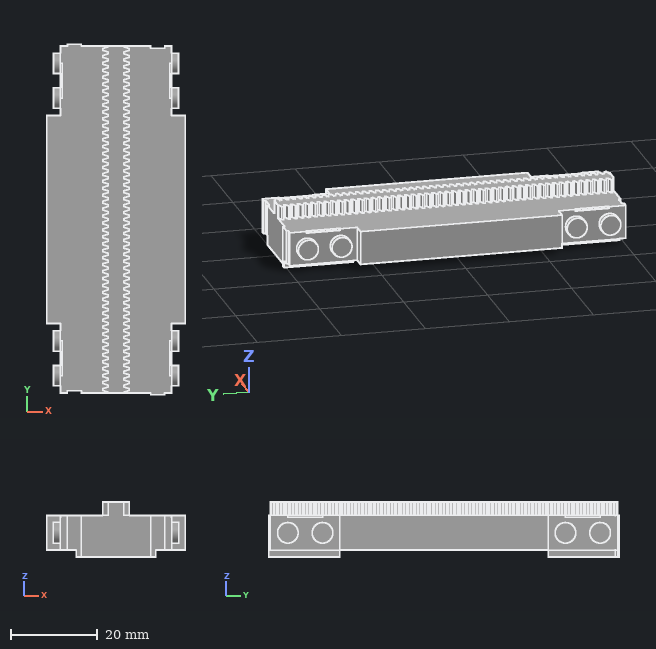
import cadquery as cq

total_length = 80.8
tongue_length = 0.4
body_length = total_length - 2 * tongue_length
body_height = 8.0
middle_width = 32.0
middle_length = 48.0
end_width = 25.6
end_length = (body_length - middle_length) / 2
end_center = (middle_length + end_length) / 2

foot_width = 18.35
foot_height = 1.6

joint_inner_x = 8.0
joint_outer_x = 11.2
groove_depth = 0.5

pin_diameter = 4.8
pin_length = 1.6
pin_spacing = end_length / 2

notch_size = 0.4

total_height = 12.8
rail_height = total_height - body_height - foot_height
tooth_count = 50
tooth_pitch = body_length / tooth_count
tip_x = 3.1
root_x = 1.8
quarter_pitch = tooth_pitch / 4


def box(width, length, height, x=0, y=0, z=0):
    """Box centered on x and y with its bottom at z."""
    return cq.Workplane("XY").box(width, length, height, centered=(True, True, False)).translate((x, y, z))


def make_body():
    body = box(end_width, body_length, body_height)
    body = body.union(box(middle_width, middle_length, body_height))
    for end in (-1, 1):
        foot = box(foot_width, end_length, foot_height, y=end * end_center, z=-foot_height)
        body = body.union(foot)
    return body


def joint_block(depth, x_side, y_center):
    """Full-height strip at an end face, cut or added to make a groove or a tongue."""
    width = joint_outer_x - joint_inner_x
    x_center = x_side * (joint_inner_x + joint_outer_x) / 2
    height = body_height + foot_height
    return box(width, depth, height, x_center, y_center, -foot_height)


def cross_section_limit():
    """Space that the body and foot cross-section occupies, along the whole length."""
    limit = box(end_width, total_length, body_height)
    return limit.union(box(foot_width, total_length, foot_height, z=-foot_height))


def add_end_joints(body):
    limit = cross_section_limit()
    for end in (-1, 1):
        face_y = end * body_length / 2
        tongue = joint_block(tongue_length, -end, face_y + end * tongue_length / 2)
        groove = joint_block(groove_depth, end, face_y - end * groove_depth / 2)
        body = body.union(tongue.intersect(limit)).cut(groove)
    return body


def add_pins(body):
    span = end_width + 2 * pin_length
    for end in (-1, 1):
        for offset in (-pin_spacing / 2, pin_spacing / 2):
            pin = (
                cq.Workplane("YZ")
                .center(end * end_center + offset, body_height / 2)
                .circle(pin_diameter / 2)
                .extrude(span / 2, both=True)
            )
            body = body.union(pin)
    return body


def cut_edge_notches(body):
    """Cut a square step into the top edge between the two pins of each pair."""
    for side in (-1, 1):
        notch_x = side * (end_width - notch_size) / 2
        for end in (-1, 1):
            notch = box(notch_size, pin_spacing, notch_size, notch_x, end * end_center, body_height - notch_size)
            body = body.cut(notch)
    return body


def make_rail():
    """Rail whose right side is traced from front to back and then mirrored."""
    start_y = -body_length / 2
    side = [(root_x, start_y)]
    for tooth in range(tooth_count):
        tooth_y = start_y + tooth * tooth_pitch
        side.append((root_x, tooth_y + quarter_pitch / 2))
        side.append((tip_x, tooth_y + 1.5 * quarter_pitch))
        side.append((tip_x, tooth_y + 2.5 * quarter_pitch))
        side.append((root_x, tooth_y + 3.5 * quarter_pitch))
    side.append((root_x, -start_y))
    mirrored = [(-x, y) for x, y in reversed(side)]
    outline = cq.Workplane("XY").workplane(offset=body_height).polyline(side + mirrored).close()
    return outline.extrude(rail_height)


body = make_body()
body = add_end_joints(body)
body = cut_edge_notches(body)
body = add_pins(body)
result = body.union(make_rail())